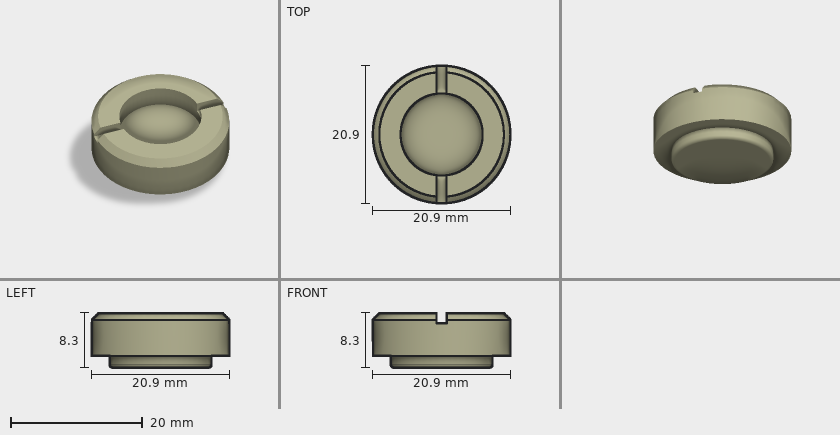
import cadquery as cq

ring_diameter = 20.95
ring_height = 6.5
total_height = 8.3
rim_chamfer = 1.0

bore_diameter = 12.49
bore_depth = 3.3
slot_width = 1.5
slot_depth = 1.5

plug_diameter = 15.5
plug_height = total_height - ring_height
plug_edge_radius = 0.5


def make_ring():
    """Chamfered cap with a blind bore and a slot across its top face."""
    body = cq.Workplane("XY").circle(ring_diameter / 2).extrude(ring_height)
    body = body.faces(">Z").chamfer(rim_chamfer)
    bore = (
        cq.Workplane("XY")
        .workplane(offset=ring_height - bore_depth)
        .circle(bore_diameter / 2)
        .extrude(bore_depth)
    )
    slot = (
        cq.Workplane("XY")
        .workplane(offset=ring_height - slot_depth)
        .rect(slot_width, ring_diameter)
        .extrude(slot_depth)
    )
    return body.cut(bore).cut(slot)


def make_plug():
    """Disc seated against the underside of the ring, with a rounded lower edge."""
    disc = cq.Workplane("XY").circle(plug_diameter / 2).extrude(-plug_height)
    return disc.faces("<Z").edges().fillet(plug_edge_radius)


ring = make_ring()
plug = make_plug()

result = cq.Compound.makeCompound([ring.val(), plug.val()])